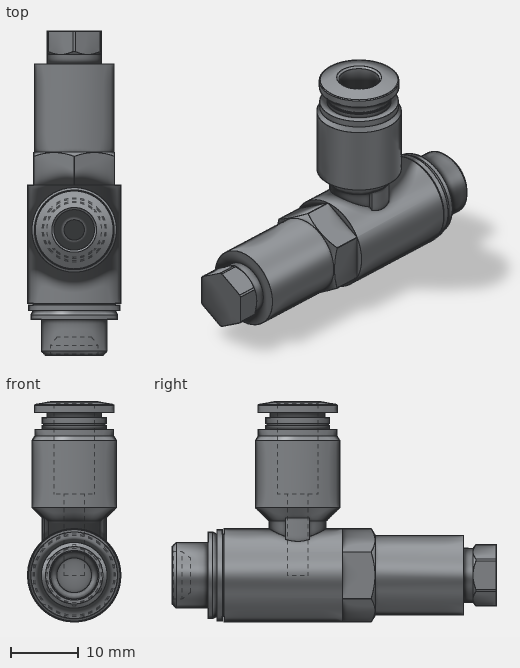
import cadquery as cq
import math

total_length = 47.95
branch_station = 18.55

nose_diameter = 9.75
nose_chamfer = 0.6
flange_start = 5.3
flange_rim_end = 6.0
flange_diameter = 12.8
groove_diameter = 12.2
ring_start = 6.6
ring_end = 7.45
ring_diameter = 13.5
body_start = 7.65
body_end = 25.15
body_diameter = 13.8
large_hex_end = 30.05
sleeve_end = 43.1
sleeve_diameter = 11.8
neck_end = 44.5
neck_diameter = 8.0

large_hex_flats = 12.0
large_hex_chamfer = 0.6
small_hex_flats = 8.0
small_hex_corner_diameter = 9.05
small_hex_chamfer = 0.45

port_mouth_diameter = 7.35
port_diameter = 7.0
port_floor_diameter = 5.15
port_mouth_chamfer = 0.2
port_depth = 1.5
port_floor_depth = 2.7

branch_top = 25.7
stem_diameter = 8.45
socket_diameter = 12.5
socket_cone_bottom = 8.0
socket_bottom = 10.0
socket_shoulder = 19.9
collar_bottom = 20.6
collar_top = 21.6
collar_diameter = 11.65
lip_diameter = 9.5
lip_groove_diameter = 9.1
lip_groove_bottom = 22.15
lip_groove_top = 22.45
lip_top = 23.3
release_neck_diameter = 8.1
release_bottom = 24.05
release_rim = 25.13
release_diameter = 11.8
release_edge_chamfer = 0.15

rib_diameter = 9.5
rib_width = 3.55
rib_top = 8.45

tube_bore_diameter = 6.0
tube_mouth_diameter = 6.6
tube_mouth_chamfer = 0.3
tube_bore_floor = 12.0
passage_diameter = 3.0


def turned(steps):
    """Revolve (diameter, position) steps about Z into a solid."""
    outline = [(0, steps[0][1])]
    outline += [(diameter / 2, position) for diameter, position in steps]
    outline.append((0, steps[-1][1]))
    return cq.Workplane("XZ").polyline(outline).close().revolve(360, (0, 0), (0, 1))


def turned_on_main_axis(steps):
    """Revolve (diameter, station) steps about the main axis."""
    return turned(steps).rotate((0, 0, 0), (1, 0, 0), -90).translate((0, -branch_station, 0))


def hexagon(flats, start, end):
    """Hexagonal bar along the main axis with two flats facing +X and -X."""
    corner_diameter = flats / math.cos(math.pi / 6)
    bar = cq.Workplane("XY").workplane(offset=start).polygon(6, corner_diameter).extrude(end - start)
    bar = bar.rotate((0, 0, 0), (0, 0, 1), 30)
    return bar.rotate((0, 0, 0), (1, 0, 0), -90).translate((0, -branch_station, 0))


def main_body():
    return turned_on_main_axis([
        (nose_diameter - 2 * nose_chamfer, 0),
        (nose_diameter, nose_chamfer),
        (nose_diameter, flange_start),
        (flange_diameter, flange_start),
        (flange_diameter, flange_rim_end),
        (groove_diameter, ring_start),
        (ring_diameter, ring_start),
        (ring_diameter, ring_end),
        (groove_diameter, ring_end),
        (groove_diameter, body_start),
        (body_diameter, body_start),
        (body_diameter, body_end),
        (sleeve_diameter, body_end),
        (sleeve_diameter, sleeve_end),
        (neck_diameter, sleeve_end),
        (neck_diameter, neck_end),
    ])


def large_hex():
    envelope = turned_on_main_axis([
        (body_diameter, body_end),
        (body_diameter, large_hex_end - large_hex_chamfer),
        (sleeve_diameter, large_hex_end),
    ])
    return hexagon(large_hex_flats, body_end, large_hex_end).intersect(envelope)


def small_hex():
    envelope = turned_on_main_axis([
        (neck_diameter, neck_end),
        (small_hex_corner_diameter, neck_end + small_hex_chamfer),
        (small_hex_corner_diameter, total_length),
    ])
    return hexagon(small_hex_flats, neck_end, total_length).intersect(envelope)


def branch():
    return turned([
        (stem_diameter, 0),
        (stem_diameter, socket_cone_bottom),
        (socket_diameter, socket_bottom),
        (socket_diameter, socket_shoulder),
        (collar_diameter, collar_bottom),
        (collar_diameter, collar_top),
        (lip_diameter, collar_top),
        (lip_diameter, lip_groove_bottom),
        (lip_groove_diameter, lip_groove_bottom),
        (lip_groove_diameter, lip_groove_top),
        (lip_diameter, lip_groove_top),
        (lip_diameter, lip_top),
        (release_neck_diameter, lip_top),
        (release_neck_diameter, release_bottom),
        (release_diameter, release_bottom),
        (release_diameter, release_rim),
        (release_diameter - 2 * release_edge_chamfer, release_rim + release_edge_chamfer),
        (tube_mouth_diameter, branch_top),
    ])


def ribs():
    slab = cq.Workplane("XY").rect(rib_diameter, rib_width).extrude(rib_top)
    return slab.intersect(cq.Workplane("XY").circle(rib_diameter / 2).extrude(rib_top))


def front_port():
    return turned_on_main_axis([
        (port_mouth_diameter, 0),
        (port_diameter, port_mouth_chamfer),
        (port_diameter, port_depth),
        (port_floor_diameter, port_floor_depth),
    ])


def tube_bore():
    """Tube bore narrowing to a passage that ends on the main axis."""
    return turned([
        (passage_diameter, 0),
        (passage_diameter, tube_bore_floor),
        (tube_bore_diameter, tube_bore_floor),
        (tube_bore_diameter, branch_top - tube_mouth_chamfer),
        (tube_mouth_diameter, branch_top),
    ])


result = main_body().union(large_hex()).union(small_hex()).union(branch()).union(ribs())
result = result.cut(front_port()).cut(tube_bore())